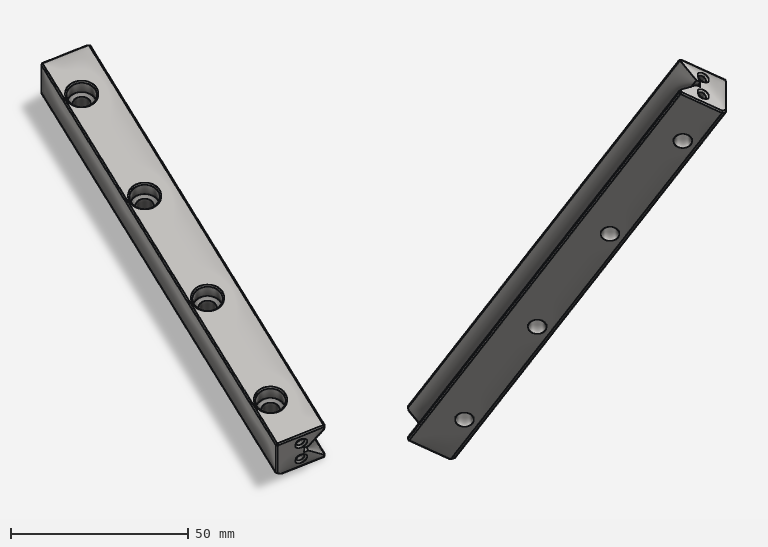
import cadquery as cq
import math

length = 150.0
width = 15.5
height = 15.0
mid_height = height / 2
edge_chamfer = 0.5
bottom_front_chamfer = 1.4

groove_half_opening = 6.5
relief_half_width = 1.0
relief_depth = 6.8

hole_count = 4
first_hole_x = 15.0
hole_pitch = (length - 2 * first_hole_x) / (hole_count - 1)
hole_y = 5.5
hole_diameter = 5.2
counterbore_diameter = 8.5
counterbore_depth = 4.8
counterbore_chamfer = 0.5

end_hole_diameter = 2.5
end_hole_rim_diameter = 3.8
end_hole_depth = 7.5
end_hole_y = 7.8
end_hole_offset = 3.6
drill_point_angle = 118.0


def rail_body():
    """Rail block with chamfered long edges and chamfered ends."""
    body = cq.Workplane("XY").box(length, width, height, centered=False)
    body = body.edges("|X and <Y and <Z").chamfer(bottom_front_chamfer)
    long_edges = body.edges("|X and >Z").add(body.edges("|X and >Y"))
    body = long_edges.chamfer(edge_chamfer)
    return body.faces("<X or >X").chamfer(edge_chamfer)


def groove_cutter():
    """V groove and relief slot as one profile swept along the rail."""
    slope_depth = groove_half_opening - relief_half_width
    slope_y = width - slope_depth
    root_y = width - relief_depth
    return (
        cq.Workplane("YZ")
        .moveTo(width, mid_height - groove_half_opening)
        .lineTo(slope_y, mid_height - relief_half_width)
        .lineTo(root_y, mid_height - relief_half_width)
        .lineTo(root_y, mid_height + relief_half_width)
        .lineTo(slope_y, mid_height + relief_half_width)
        .lineTo(width, mid_height + groove_half_opening)
        .close()
        .extrude(length)
    )


def mounting_hole_cutter(x):
    """Stepped through hole with a chamfered counterbore rim."""
    hole_radius = hole_diameter / 2
    bore_radius = counterbore_diameter / 2
    rim_radius = bore_radius + counterbore_chamfer
    profile = [
        (0, 0),
        (hole_radius, 0),
        (hole_radius, height - counterbore_depth),
        (bore_radius, height - counterbore_depth),
        (bore_radius, height - counterbore_chamfer),
        (rim_radius, height),
        (0, height),
    ]
    cutter = cq.Workplane("XZ").polyline(profile).close().revolve(360, (0, 0), (0, 1))
    return cutter.translate((x, hole_y, 0))


def end_hole_cutter(z):
    """Blind hole from the left end, countersunk, with a conical drill point."""
    radius = end_hole_diameter / 2
    rim_radius = end_hole_rim_diameter / 2
    point_length = radius / math.tan(math.radians(drill_point_angle / 2))
    profile = [
        (0, 0),
        (0, rim_radius),
        (rim_radius - radius, radius),
        (end_hole_depth, radius),
        (end_hole_depth + point_length, 0),
    ]
    cutter = cq.Workplane("XY").polyline(profile).close().revolve(360, (0, 0), (1, 0))
    return cutter.translate((0, end_hole_y, z))


result = rail_body().cut(groove_cutter())

for index in range(hole_count):
    result = result.cut(mounting_hole_cutter(first_hole_x + index * hole_pitch))

for side in (-1, 1):
    left_hole = end_hole_cutter(mid_height + side * end_hole_offset)
    right_hole = left_hole.mirror("YZ", (length / 2, 0, 0))
    result = result.cut(left_hole).cut(right_hole)